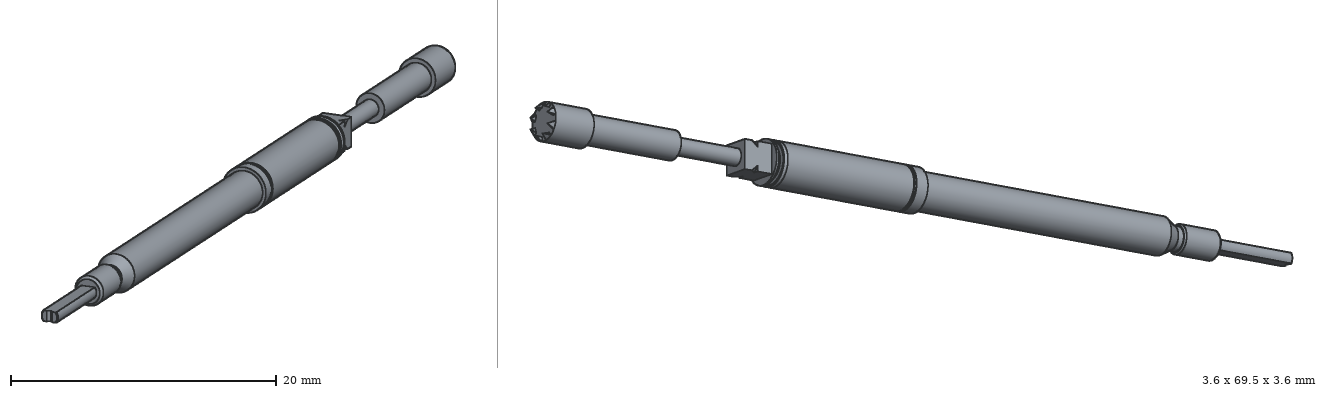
import cadquery as cq
import math

LENGTH = 69.5

TAIL_RADIUS = 0.7
TAIL_THICKNESS = 0.8
TAIL_TIP_CHAMFER = 0.1
TAIL_NOTCH_WIDTH = 0.5
TAIL_NOTCH_DEPTH = 0.2

CAP_START_Y = 6.9
CAP_END_Y = 10.35
CAP_RADIUS = 1.2
CAP_REAR_CHAMFER = 0.2
CAP_FRONT_CHAMFER = 0.15

NECK_RADIUS = 1.0
CONE_START_Y = 10.85
TUBE_START_Y = 11.9
TUBE_RADIUS = 1.5

BARREL_START_Y = 34.7
BARREL_END_Y = 48.1
BARREL_RADIUS = 1.8
LIP_THICKNESS = 0.1
LIP_TAPER_START_Y = 47.7
LIP_TAPER_DEPTH = 0.15
REAR_GROOVE_START_Y = 35.7
REAR_GROOVE_WIDTH = 0.2
REAR_GROOVE_DEPTH = 0.1

FLANGE_START_Y = 48.5
FLANGE_END_Y = 48.7
FLANGE_GROOVE_RADIUS = 1.4

COLLAR_END_Y = 51.2
COLLAR_SIDE = 2.35
BARB_START_Y = 50.05
BARB_END_Y = 50.6
BARB_ROOT_RADIUS = 1.4

NEEDLE_RADIUS = 0.7
STEM_START_Y = 57.1
STEM_RADIUS = 1.2
HEAD_START_Y = 65.5
HEAD_RADIUS = 1.5

TOOTH_COUNT = 8
TOOTH_TIP_RADIUS = 1.2
RIM_CHAMFER_LENGTH = 0.5
GROOVE_DEPTH = 0.5
GROOVE_FLOOR_WIDTH = 0.5

CUT_MARGIN = 0.7


def revolve_profile(points):
    """Turn a closed (radius, y) outline about the Y axis."""
    return cq.Workplane("XY").polyline(points).close().revolve(360, (0, 0, 0), (0, 1, 0))


def centred_block(size_x, start_y, end_y, size_z):
    """Box centred on the Y axis between two stations."""
    block = cq.Workplane("XY").box(size_x, end_y - start_y, size_z)
    return block.translate((0, (start_y + end_y) / 2, 0))


def make_tail():
    rod = revolve_profile([
        (0, 0),
        (TAIL_RADIUS - TAIL_TIP_CHAMFER, 0),
        (TAIL_RADIUS, TAIL_TIP_CHAMFER),
        (TAIL_RADIUS, CAP_START_Y),
        (0, CAP_START_Y),
    ])
    notch = (
        cq.Workplane("XY")
        .polyline([(-TAIL_NOTCH_WIDTH / 2, 0), (TAIL_NOTCH_WIDTH / 2, 0), (0, TAIL_NOTCH_DEPTH)])
        .close()
        .extrude(TAIL_THICKNESS, both=True)
    )
    flattened = rod.intersect(centred_block(2 * TAIL_RADIUS, 0, CAP_START_Y, TAIL_THICKNESS))
    return flattened.cut(notch)


def make_body():
    rear_groove_radius = BARREL_RADIUS - REAR_GROOVE_DEPTH
    lip_start_y = BARREL_END_Y - LIP_THICKNESS
    rear_groove_end_y = REAR_GROOVE_START_Y + REAR_GROOVE_WIDTH
    return revolve_profile([
        (0, CAP_START_Y),
        (CAP_RADIUS - CAP_REAR_CHAMFER, CAP_START_Y),
        (CAP_RADIUS, CAP_START_Y + CAP_REAR_CHAMFER),
        (CAP_RADIUS, CAP_END_Y - CAP_FRONT_CHAMFER),
        (CAP_RADIUS - CAP_FRONT_CHAMFER, CAP_END_Y),
        (NECK_RADIUS, CAP_END_Y),
        (NECK_RADIUS, CONE_START_Y),
        (TUBE_RADIUS, TUBE_START_Y),
        (TUBE_RADIUS, BARREL_START_Y),
        (BARREL_RADIUS, BARREL_START_Y),
        (BARREL_RADIUS, REAR_GROOVE_START_Y),
        (rear_groove_radius, REAR_GROOVE_START_Y),
        (rear_groove_radius, rear_groove_end_y),
        (BARREL_RADIUS, rear_groove_end_y),
        (BARREL_RADIUS, LIP_TAPER_START_Y),
        (BARREL_RADIUS - LIP_TAPER_DEPTH, lip_start_y),
        (BARREL_RADIUS, lip_start_y),
        (BARREL_RADIUS, BARREL_END_Y),
        (FLANGE_GROOVE_RADIUS, BARREL_END_Y),
        (BARREL_RADIUS, FLANGE_START_Y),
        (BARREL_RADIUS, FLANGE_END_Y),
        (0, FLANGE_END_Y),
    ])


def make_collar():
    """Square block whose corners carry a turned notch that deepens toward the barrel."""
    corner_radius = COLLAR_SIDE / math.sqrt(2)
    block = centred_block(COLLAR_SIDE, FLANGE_END_Y, COLLAR_END_Y, COLLAR_SIDE)
    notch = revolve_profile([
        (BARB_ROOT_RADIUS, BARB_START_Y),
        (corner_radius + CUT_MARGIN, BARB_START_Y),
        (corner_radius + CUT_MARGIN, BARB_END_Y),
        (corner_radius, BARB_END_Y),
    ])
    return block.cut(notch)


def make_plunger():
    return revolve_profile([
        (0, COLLAR_END_Y),
        (NEEDLE_RADIUS, COLLAR_END_Y),
        (NEEDLE_RADIUS, STEM_START_Y),
        (STEM_RADIUS, STEM_START_Y),
        (STEM_RADIUS, HEAD_START_Y),
        (HEAD_RADIUS, HEAD_START_Y),
        (HEAD_RADIUS, LENGTH - RIM_CHAMFER_LENGTH),
        (TOOTH_TIP_RADIUS, LENGTH),
        (TOOTH_TIP_RADIUS, LENGTH - GROOVE_DEPTH),
        (0, LENGTH - GROOVE_DEPTH),
    ])


def cut_crown(plunger):
    """Cut tapered grooves through the axis so that neighbouring grooves meet at the tooth tips."""
    half_pitch = 180 / TOOTH_COUNT
    half_floor = GROOVE_FLOOR_WIDTH / 2
    half_top = TOOTH_TIP_RADIUS * math.sin(math.radians(half_pitch))
    half_cutter = half_top + (half_top - half_floor)
    root_y = LENGTH - GROOVE_DEPTH
    cutter_top_y = LENGTH + GROOVE_DEPTH
    groove = (
        cq.Workplane("XY")
        .polyline([
            (-half_floor, root_y),
            (half_floor, root_y),
            (half_cutter, cutter_top_y),
            (-half_cutter, cutter_top_y),
        ])
        .close()
        .extrude(HEAD_RADIUS + CUT_MARGIN, both=True)
    )
    for index in range(TOOTH_COUNT // 2):
        plunger = plunger.cut(groove.rotate((0, 0, 0), (0, 1, 0), index * 2 * half_pitch))
    return plunger


result = make_tail().union(make_body()).union(make_collar()).union(cut_crown(make_plunger()))